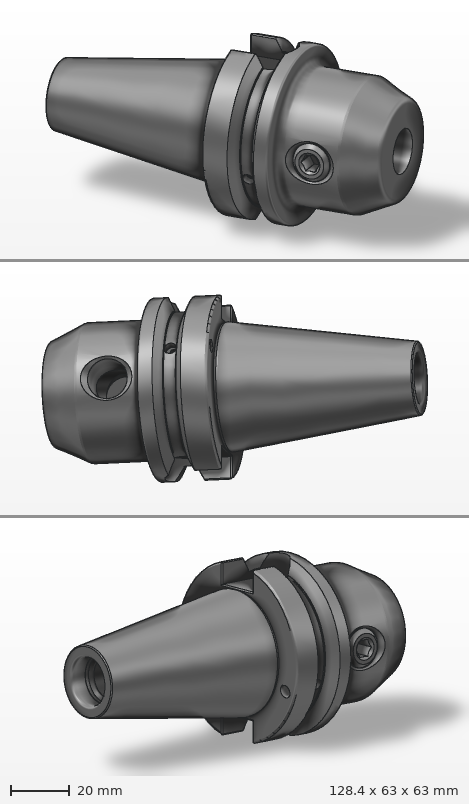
import cadquery as cq
import math

overall_length = 128.4

gauge_x = 65.4
gauge_radius = 22.2
taper_slope = 7 / 48
small_end_radius = gauge_radius - taper_slope * gauge_x
small_end_chamfer = 0.4
taper_end_x = 65.7
taper_end_radius = small_end_radius + taper_slope * taper_end_x
neck_end_x = 66.5
neck_radius = 22.0

flange_start_x = 67.4
flange_end_x = 92.0
flange_diameter = 63.0
flange_radius = flange_diameter / 2
rim_round = 0.9
groove_center_x = 81.8
groove_floor_radius = 26.5
groove_floor_half_width = 2.3
groove_step_radius = 27.0
groove_floor_round = 0.3
groove_half_angle = 30.0
groove_mouth_half_width = (
    groove_floor_half_width
    + (flange_radius - groove_step_radius) * math.tan(math.radians(groove_half_angle))
)

shank_radius = 24.1
shank_root_round = 3.0
nose_cone_start_x = 115.2
nose_cone_angle = 25.0
nose_round = 2.0
nose_radius = shank_radius - (overall_length - nose_cone_start_x) * math.tan(math.radians(nose_cone_angle))

pilot_radius = 8.5
pilot_mouth_round = 1.2
pilot_depth = 6.3
relief_radius = 8.3
relief_end_x = 7.7
thread_lead_radius = 7.3
thread_lead_angle = 45.0
thread_lead_end_x = relief_end_x + (relief_radius - thread_lead_radius) / math.tan(
    math.radians(thread_lead_angle))
thread_core_radius = 6.9
thread_core_angle = 60.0
thread_core_x = thread_lead_end_x + (thread_lead_radius - thread_core_radius) / math.tan(
    math.radians(thread_core_angle))
tool_bore_radius = 8.0
tool_bore_depth = 48.0

slot_half_width = 8.0
slot_floor_z = 22.6
slot_end_x = 88.9
slot_edge_chamfer = 0.5
cut_margin = 1.3

coolant_azimuth = 20.0
plug_hole_radius = 2.0
plug_hole_floor_radius = 23.6
link_hole_radius = 1.2
link_hole_x = 81.3
link_hole_floor_radius = 16.7
face_hole_radius = 2.0
face_hole_pitch_radius = 26.8
face_hole_angle = 35.0

screw_x = 104.4
screw_radius = 6.9
screw_length = 16.0
screw_chamfer = 1.5
hex_flats = 5.9
hex_depth = 7.7
hex_countersink_radius = 4.0
screw_mouth_radius = 9.0


def cylinder(start, direction, radius, length):
    return cq.Workplane(cq.Solid.makeCylinder(radius, length, cq.Vector(*start), cq.Vector(*direction)))


def cone(start, direction, start_radius, end_radius, length):
    return cq.Workplane(
        cq.Solid.makeCone(start_radius, end_radius, length, cq.Vector(*start), cq.Vector(*direction))
    )


def rounded_ring(body, x, radius, size):
    """Fillet the full circular edge of the given radius in the plane at x."""
    reach = radius + 0.1
    tolerance = 0.06
    edges = body.edges(cq.selectors.BoxSelector(
        (x - tolerance, -reach, -reach), (x + tolerance, reach, reach), boundingbox=True))
    edges = edges.filter(lambda edge: edge.geomType() == "CIRCLE" and abs(edge.radius() - radius) < tolerance)
    return edges.fillet(size)


def make_blank():
    """Turned outside shape of the holder."""
    groove_start_x = groove_center_x - groove_mouth_half_width
    groove_end_x = groove_center_x + groove_mouth_half_width
    blank = (
        cq.Workplane("XZ")
        .moveTo(0, 0)
        .lineTo(0, small_end_radius - small_end_chamfer)
        .lineTo(small_end_chamfer, small_end_radius + taper_slope * small_end_chamfer)
        .lineTo(taper_end_x, taper_end_radius)
        .lineTo(neck_end_x, taper_end_radius)
        .lineTo(flange_start_x, neck_radius)
        .lineTo(flange_start_x, flange_radius)
        .lineTo(groove_start_x, flange_radius)
        .lineTo(groove_center_x - groove_floor_half_width, groove_step_radius)
        .lineTo(groove_center_x - groove_floor_half_width, groove_floor_radius)
        .lineTo(groove_center_x + groove_floor_half_width, groove_floor_radius)
        .lineTo(groove_center_x + groove_floor_half_width, groove_step_radius)
        .lineTo(groove_end_x, flange_radius)
        .lineTo(flange_end_x, flange_radius)
        .lineTo(flange_end_x, shank_radius)
        .lineTo(nose_cone_start_x, shank_radius)
        .lineTo(overall_length, nose_radius)
        .lineTo(overall_length, 0)
        .close()
        .revolve(360, (0, 0, 0), (1, 0, 0))
    )
    blank = rounded_ring(blank, flange_start_x, flange_radius, rim_round)
    for side in (-1, 1):
        floor_corner_x = groove_center_x + side * groove_floor_half_width
        blank = rounded_ring(blank, floor_corner_x, groove_floor_radius, groove_floor_round)
    blank = rounded_ring(blank, flange_end_x, flange_radius, rim_round)
    blank = rounded_ring(blank, flange_end_x, shank_radius, shank_root_round)
    blank = rounded_ring(blank, nose_cone_start_x, shank_radius, nose_round)
    return rounded_ring(blank, overall_length, nose_radius, nose_round)


def make_bore():
    """Pilot bore, thread core and tool bore, all along the tool axis."""
    tool_bore_start_x = overall_length - tool_bore_depth
    return (
        cq.Workplane("XZ")
        .moveTo(0, 0)
        .lineTo(0, pilot_radius + pilot_mouth_round)
        .radiusArc((pilot_mouth_round, pilot_radius), -pilot_mouth_round)
        .lineTo(pilot_depth, pilot_radius)
        .lineTo(pilot_depth, relief_radius)
        .lineTo(relief_end_x, relief_radius)
        .lineTo(thread_lead_end_x, thread_lead_radius)
        .lineTo(thread_core_x, thread_core_radius)
        .lineTo(tool_bore_start_x, thread_core_radius)
        .lineTo(tool_bore_start_x, tool_bore_radius)
        .lineTo(overall_length, tool_bore_radius)
        .lineTo(overall_length, 0)
        .close()
        .revolve(360, (0, 0, 0), (1, 0, 0))
    )


def make_drive_slot():
    """Cutter for the upper drive slot, with chamfers on its front and rim edges."""
    top_z = flange_radius + cut_margin
    height = top_z - slot_floor_z
    arc_center_x = slot_end_x - slot_half_width
    slot = (
        cq.Workplane("XY", origin=(0, 0, slot_floor_z))
        .moveTo(flange_start_x, -slot_half_width)
        .lineTo(arc_center_x, -slot_half_width)
        .threePointArc((slot_end_x, 0), (arc_center_x, slot_half_width))
        .lineTo(flange_start_x, slot_half_width)
        .close()
        .extrude(height)
    )
    front_chamfer = (
        cq.Workplane("YZ", origin=(flange_start_x, 0, top_z))
        .rect(2 * (slot_half_width + slot_edge_chamfer), 2 * (height + slot_edge_chamfer))
        .workplane(offset=slot_edge_chamfer)
        .rect(2 * slot_half_width, 2 * height)
        .loft(ruled=True)
    )
    flare_z = math.sqrt(flange_radius**2 - slot_half_width**2) - slot_edge_chamfer
    flare_half_width = slot_half_width + top_z - flare_z
    rim_chamfer = (
        cq.Workplane("YZ", origin=(flange_start_x, 0, 0))
        .moveTo(-slot_half_width, flare_z)
        .lineTo(slot_half_width, flare_z)
        .lineTo(flare_half_width, top_z)
        .lineTo(-flare_half_width, top_z)
        .close()
        .extrude(groove_center_x - flange_start_x)
    )
    return slot.union(front_chamfer).union(rim_chamfer)


def make_coolant_passage():
    """Cutter for one coolant passage.

    A sloping hole runs from the flange face to the tool bore, and a stepped hole in the groove meets it.
    """
    plug_hole = cylinder(
        (groove_center_x, plug_hole_floor_radius, 0), (0, 1, 0),
        plug_hole_radius, flange_radius - plug_hole_floor_radius,
    )
    link_hole = cylinder(
        (link_hole_x, link_hole_floor_radius, 0), (0, 1, 0),
        link_hole_radius, plug_hole_floor_radius - link_hole_floor_radius,
    )
    angle = math.radians(face_hole_angle)
    direction = (math.cos(angle), -math.sin(angle), 0)
    lead = 2 * face_hole_radius
    start = (
        flange_start_x - lead * direction[0],
        face_hole_pitch_radius - lead * direction[1],
        0,
    )
    length = lead + face_hole_pitch_radius / math.sin(angle) - tool_bore_radius
    face_hole = cylinder(start, direction, face_hole_radius, length)
    return plug_hole.union(link_hole).union(face_hole).rotate((0, 0, 0), (1, 0, 0), coolant_azimuth)


def make_screw_hole():
    """Cutter for one threaded hole, on the -Y side, with its 45 degree countersink."""
    hole = cylinder((screw_x, 0, 0), (0, -1, 0), screw_radius, shank_radius)
    mouth = cone(
        (screw_x, -shank_radius, 0), (0, 1, 0),
        screw_mouth_radius, screw_radius, screw_mouth_radius - screw_radius,
    )
    return hole.union(mouth)


def make_holder():
    holder = make_blank().cut(make_bore())
    for cutter in (make_drive_slot(), make_coolant_passage(), make_screw_hole()):
        for turn in (0, 180):
            holder = holder.cut(cutter.rotate((0, 0, 0), (1, 0, 0), turn))
    return holder


def make_clamping_screw():
    """Set screw in the -Y hole, its hex socket flush with the shank."""
    head_y = -shank_radius
    screw = (
        cylinder((screw_x, head_y, 0), (0, 1, 0), screw_radius, screw_length)
        .faces("<Y").chamfer(screw_chamfer)
    )
    hex_corner_radius = hex_flats / math.sqrt(3)
    socket = (
        cq.Workplane("XZ", origin=(screw_x, head_y, 0))
        .polygon(6, 2 * hex_corner_radius)
        .extrude(-hex_depth)
    )
    countersink = cone(
        (screw_x, head_y, 0), (0, 1, 0), hex_countersink_radius, 0, hex_countersink_radius,
    )
    return screw.cut(socket).cut(countersink)


holder = make_holder()
clamping_screw = make_clamping_screw()

result = cq.Compound.makeCompound([holder.solids().val(), clamping_screw.solids().val()])